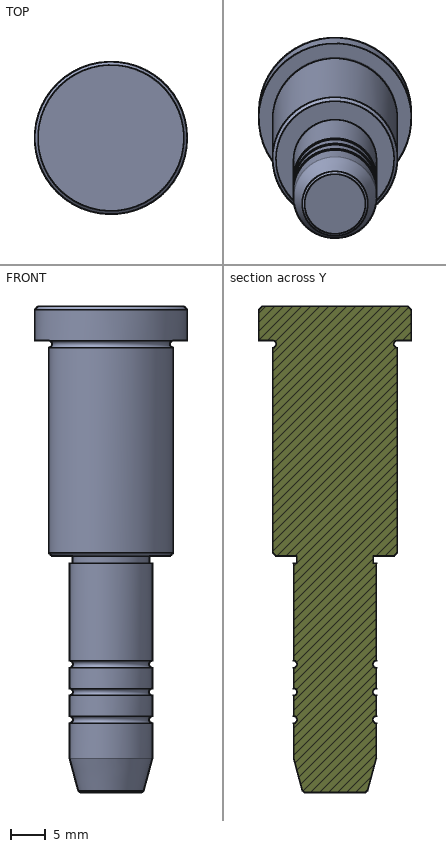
import cadquery as cq
import math

length = 70.0
head_radius = 22.0 / 2
body_radius = 18.0 / 2
stem_radius = 12.0 / 2

head_bottom = length - 5.0
body_bottom = 34.0
taper_height = 5.0

neck_depth = 0.4
neck_height = 1.0
neck_radius = stem_radius - neck_depth
neck_bottom = body_bottom - neck_height

edge_chamfer = 0.5
taper_angle = 15.0
tip_chamfer = 0.3
tip_radius = stem_radius - taper_height * math.tan(math.radians(taper_angle))

groove_width = 1.0
groove_depth = groove_width / 2
ring_groove_count = 3
ring_groove_pitch = 4.0
first_ring_groove_top = 19.0


def cylinder(radius, bottom, top):
    """Solid cylinder about Z between two levels."""
    return cq.Workplane("XY").workplane(offset=bottom).circle(radius).extrude(top - bottom)


def cut_groove(solid, radius, top):
    """Cut a semicircular groove into a cylinder of the given radius."""
    cutter = (
        cq.Workplane("XZ")
        .moveTo(radius, top)
        .threePointArc((radius - groove_depth, top - groove_width / 2), (radius, top - groove_width))
        .close()
        .revolve(360, (0, 0, 0), (0, 1, 0))
    )
    return solid.cut(cutter)


head = cylinder(head_radius, head_bottom, length).faces(">Z").chamfer(edge_chamfer)

body = cylinder(body_radius, body_bottom, head_bottom).faces("<Z").chamfer(edge_chamfer)
body = cut_groove(body, body_radius, head_bottom)

stem = cylinder(stem_radius, taper_height, neck_bottom)
neck = cylinder(neck_radius, neck_bottom, body_bottom)
for index in range(ring_groove_count):
    stem = cut_groove(stem, stem_radius, first_ring_groove_top - index * ring_groove_pitch)

tip = (
    cq.Workplane("XY")
    .circle(tip_radius)
    .workplane(offset=taper_height)
    .circle(stem_radius)
    .loft(ruled=True)
    .faces("<Z")
    .chamfer(tip_chamfer)
)

result = head.union(body).union(neck).union(stem).union(tip)